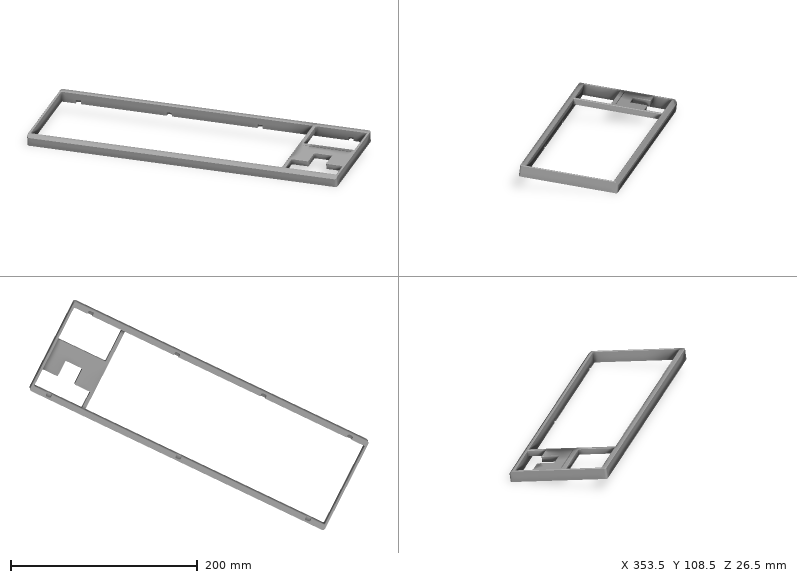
import cadquery as cq
import math

width = 353.5
overall_depth = 108.5
overall_height = 26.5
tilt = 7.5
front_bevel_drop = 3.2
front_bevel_run = 3.5
edge_chamfer = 0.65

sin_tilt = math.sin(math.radians(tilt))
cos_tilt = math.cos(math.radians(tilt))
height_sum = overall_height + edge_chamfer * sin_tilt
depth_sum = overall_depth + front_bevel_drop * sin_tilt
depth = (depth_sum * cos_tilt - height_sum * sin_tilt) / (cos_tilt**2 - sin_tilt**2)
thickness = (height_sum - depth * sin_tilt) / cos_tilt

corner_radius = 2.5
side_wall = 2.5
front_wall = 6.0
back_wall = 6.0
opening_radius = 1.0

web_thickness = 6.7
crossbar_left = 112.5
crossbar_width = 4.0
plate_back = 45.5
plate_front = 82.5
cutout_back = 63.3
cutout_width = 20.0
groove_back = 50.5
groove_width = 0.7
groove_depth = 1.0
groove_end_gap = 1.8

notch_width = 6.0
notch_height = 4.2
notch_depth = 4.2
notch_radius = 1.8
notch_reach = 155.5
back_notch_count = 4
front_notch_count = 3

inner_front = front_wall
inner_back = depth - back_wall
inner_right = width / 2 - side_wall
bay_left = crossbar_left + crossbar_width
bay_centre = (bay_left + inner_right) / 2
web_bottom = thickness - web_thickness


def block(x0, x1, y0, y1, z0, z1):
    """Box given by its limits along each axis."""
    return cq.Workplane("XY").box(x1 - x0, y1 - y0, z1 - z0, centered=False).translate((x0, y0, z0))


def opening(x0, x1, y0, y1, top=thickness):
    """Rectangular opening from the bottom up to the given height, with rounded corners."""
    return block(x0, x1, y0, y1, 0, top).edges("|Z").fillet(opening_radius)


def front_opening():
    """Opening in front of the plate, with a narrower cutout reaching back into the plate."""
    cutout_left = bay_centre - cutout_width / 2
    cutout_right = bay_centre + cutout_width / 2
    step_y = depth - plate_front
    outline = [
        (bay_left, inner_front),
        (inner_right, inner_front),
        (inner_right, step_y),
        (cutout_right, step_y),
        (cutout_right, depth - cutout_back),
        (cutout_left, depth - cutout_back),
        (cutout_left, step_y),
        (bay_left, step_y),
    ]
    return cq.Workplane("XY").polyline(outline).close().extrude(thickness).edges("|Z").fillet(opening_radius)


def front_bevel():
    """Wedge removed along the whole top front edge."""
    return (
        cq.Workplane("YZ")
        .polyline([(0, thickness), (front_bevel_run, thickness), (0, thickness - front_bevel_drop)])
        .close()
        .extrude(width / 2, both=True)
    )


def groove():
    """Shallow groove across the plate, parallel to its back edge."""
    groove_y = depth - groove_back
    return block(
        bay_left + groove_end_gap,
        inner_right - groove_end_gap,
        groove_y - groove_width,
        groove_y,
        thickness - groove_depth,
        thickness,
    )


def notches(count, y0, y1, blind_side):
    """Row of evenly spaced notches, rounded at their blind side."""
    notch = block(-notch_width / 2, notch_width / 2, y0, y1, 0, notch_height)
    notch = notch.faces(blind_side).edges("|Z").fillet(notch_radius)
    spacing = 2 * notch_reach / (count - 1)
    row = cq.Workplane("XY")
    for i in range(count):
        row = row.add(notch.translate((i * spacing - notch_reach, 0, 0)))
    return row.combine()


frame = (
    block(-width / 2, width / 2, 0, depth, 0, thickness)
    .edges("|Z")
    .fillet(corner_radius)
    .cut(opening(-inner_right, inner_right, inner_front, inner_back, web_bottom), clean=False)
    .cut(opening(-inner_right, crossbar_left, inner_front, inner_back), clean=False)
    .cut(opening(bay_left, inner_right, depth - plate_back, inner_back), clean=False)
    .cut(front_opening(), clean=False)
    .faces(">Z")
    .chamfer(edge_chamfer)
    .cut(front_bevel())
    .cut(groove())
    .cut(notches(back_notch_count, inner_back, inner_back + notch_depth, ">Y"))
    .cut(notches(front_notch_count, inner_front - notch_depth, inner_front, "<Y"))
)

result = frame.rotate((0, 0, 0), (1, 0, 0), tilt)